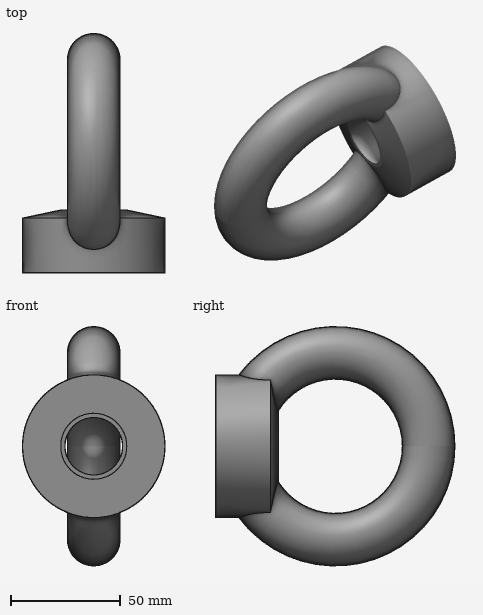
import cadquery as cq

ring_outer_radius = 54.5
bar_radius = 12.0
ring_mean_radius = ring_outer_radius - bar_radius

boss_radius = 32.5
boss_side_length = 25.0
boss_length = 28.7
boss_face_y = -ring_outer_radius

thread_outer_radius = 15.0
thread_bore_radius = 13.1


def make_ring():
    """Round bar bent into a full ring about the X axis."""
    return (
        cq.Workplane("XY")
        .center(0, ring_mean_radius)
        .circle(bar_radius)
        .revolve(360, (0, -ring_mean_radius), (1, -ring_mean_radius))
    )


def make_boss():
    """Cylindrical boss with a shallow cone that narrows to the thread hole inside the ring."""
    return (
        cq.Workplane("XY")
        .moveTo(0, boss_face_y)
        .lineTo(boss_radius, boss_face_y)
        .lineTo(boss_radius, boss_face_y + boss_side_length)
        .lineTo(thread_outer_radius, boss_face_y + boss_length)
        .lineTo(0, boss_face_y + boss_length)
        .close()
        .revolve(360, (0, 0), (0, 1))
    )


def boss_cylinder(radius):
    """Cylinder on the boss axis, as long as the boss."""
    return (
        cq.Workplane("XZ", origin=(0, boss_face_y, 0))
        .circle(radius)
        .extrude(-boss_length)
    )


def make_eye():
    """Ring and boss as one solid, with the hole for the thread sleeve."""
    return make_ring().union(make_boss()).cut(boss_cylinder(thread_outer_radius))


def make_thread_sleeve():
    """Plain sleeve standing for the thread, filling the hole of the boss."""
    return boss_cylinder(thread_outer_radius).cut(boss_cylinder(thread_bore_radius))


eye = make_eye()
thread_sleeve = make_thread_sleeve()

result = cq.Compound.makeCompound([eye.solids().val(), thread_sleeve.val()])